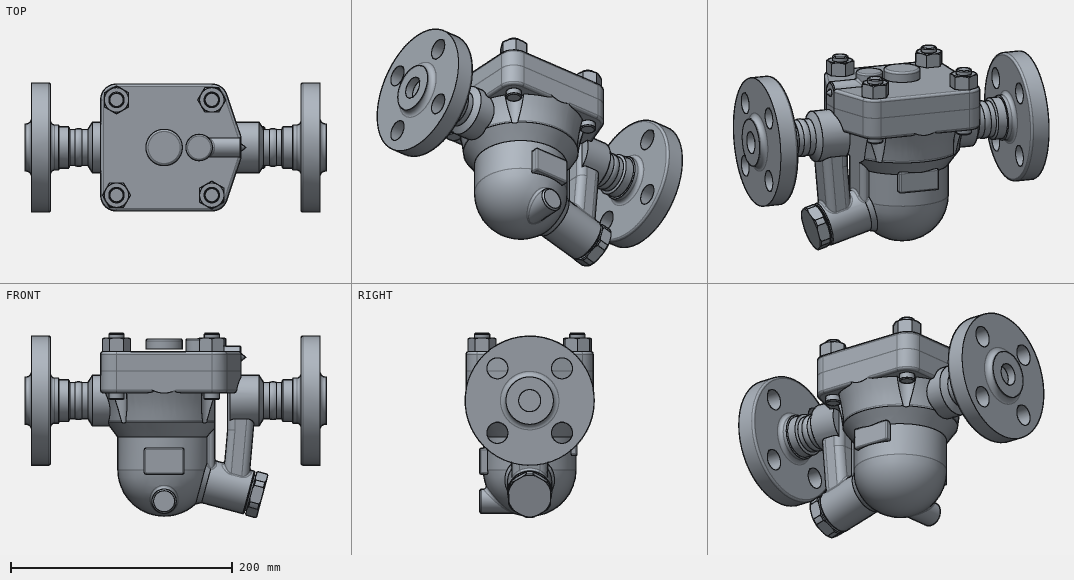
import cadquery as cq
import math

BOX_MARGIN = 1


PIPE_MID_X = 10.5
FACE_TO_FACE = 273
FLANGE_DIA = 117
FLANGE_THICKNESS = 17.3
FLANGE_ROUND = 2
RAISED_FACE_DIA = 42.9
RAISED_FACE_HEIGHT = 6
RAISED_FACE_FILLET = 5
BORE_DIA = 20
BORE_DEPTH = 8
BOLT_HOLE_DIA = 19
BOLT_CIRCLE_DIA = 82.6
NECK_DIA = 41
COLLAR_DIA = 38
PIPE_DIA = 33
WELD_BEAD_DIA = 34.4
HUB_DIA = 46
NECK_FILLET_END = 109.5
NECK_END = 106
COLLAR_START = 105.5
COLLAR_END = 97
COLLAR_TAPER_END = 95.8
WELD_OUTER = 91
WELD_INNER = 84.8
HUB_TAPER_START = 79.4
HUB_SHOULDER = 75.5
INLET_HUB_END_X = -30
OUTLET_HUB_END_X = 59.7

BOLT_OFFSET = 43.1
CORNER_RADIUS = 14.4
FLANGE_HALF = BOLT_OFFSET + CORNER_RADIUS
NOSE_X = 69.7
NOSE_HALF_WIDTH = 9
BODY_FLANGE_BOTTOM_Z = 7
COVER_JOINT_Z = 27
COVER_TOP_Z = 44.4
COVER_ROUND = 2.5
BODY_FLANGE_HEIGHT = COVER_JOINT_Z - BODY_FLANGE_BOTTOM_Z
COVER_HEIGHT = COVER_TOP_Z - COVER_JOINT_Z

BOSS_X = 31.7
BOSS_DIA = 24
BOSS_TOP_Z = 55.9
BOSS_ROUND = 1.5
BOSS_ROOT_FILLET = 2
PASSAGE_DIA = 20
PASSAGE_Z = 39.2
PASSAGE_END_CHAMFER = 1
TIP_DIA = 7
TIP_LENGTH = 4.2

PLATE_DIA = 33
PLATE_BOTTOM_Z = 46.5
PLATE_ROUND = 2

STUD_DIA = 14
STUD_BOTTOM_Z = 1
STUD_TOP_Z = 61
STUD_CHAMFER = 1
NUT_FLATS = 22
NUT_HEIGHT = 12.4
NUT_CHAMFER_ANGLE = 30
STUD_RELIEF_DIA = 19

POT_RADIUS = 42
SPHERE_Z = -62.6
SHOULDER_BOTTOM_Z = -33
SHOULDER_RADIUS = 52
SHOULDER_EDGE_Z = -19.5
FLARE_BOTTOM_Z = -18
FLARE_MID_RADIUS = 54.6
FLARE_MID_Z = -3
FLARE_TOP_RADIUS = 58.5
FLARE_TOP_Z = 9.5

FRONT_PAD_WIDTH = 36
FRONT_PAD_TOP_Z = -43
FRONT_PAD_BOTTOM_Z = -66.6
FRONT_PAD_Y = -45.2
PAD_ROUND = 1.5
PAD_FACE_ROUND = 1.35
BACK_PAD_WIDTH = 38
BACK_PAD_TOP_Z = -30
BACK_PAD_BOTTOM_Z = -49.5
BACK_PAD_Y = 43

DRAIN_DIA = 22
DRAIN_Z = -91
DRAIN_END_Y = -45.5
DRAIN_CHAMFER = 1.5
DRAIN_FILLET = 2.5

BARREL_ANGLE = 15
BARREL_DIA = 40
BARREL_END = 80
BARREL_CHAMFER = 1
BARREL_FLARE = 2.5
PLUG_RING_DIA = 33
PLUG_HEX_START = 81.5
PLUG_HEX_END = 91.9
PLUG_FLATS = 38
PLUG_CORNER_DIA = 41
PLUG_CHAMFER = 1

RIB_OUTER_X = 46
RIB_WIDTH = 33
RIB_ROUND = 5.2
RIB_FILLET = 2
RIB_JOINT_TOP_Z = -54

LEG_LEFT_X = 57.3
LEG_LENGTH_X = 23.4
LEG_WIDTH = 32
LEG_ROUND = 6.8
LEG_FILLET = 2
LEG_BEND_Z = -26.7
LEG_TILT = 5
LEG_BOTTOM_Z = -80
LEG_TOP_Z = 10
LEG_JOINT_MIN_X = 50
LEG_JOINT_MAX_X = 77.5
LEG_JOINT_TOP_Z = -55


def turned(profile):
    """Revolve a sketch drawn as (along X, radius) about the X axis."""
    return profile.close().revolve(360, (0, 0, 0), (1, 0, 0))


def stud_positions():
    return [(sx * BOLT_OFFSET, sy * BOLT_OFFSET) for sx in (-1, 1) for sy in (-1, 1)]


def hexagon(flats, height):
    return cq.Workplane("XY").polygon(6, flats / math.cos(math.pi / 6)).extrude(height)


def flanged_end(hub_end):
    """Flange, neck, pipe and hub pointing along +X, measured from the pipe middle."""
    face = FACE_TO_FACE / 2
    front = face - RAISED_FACE_HEIGHT
    back = front - FLANGE_THICKNESS
    diag = 1 - math.sqrt(0.5)
    raised_r = RAISED_FACE_DIA / 2
    flange_r = FLANGE_DIA / 2
    neck_r = NECK_DIA / 2
    neck_fillet = back - NECK_FILLET_END
    profile = (
        cq.Workplane("XY")
        .moveTo(hub_end, 0)
        .lineTo(face, 0)
        .lineTo(face, raised_r)
        .lineTo(front + RAISED_FACE_FILLET, raised_r)
        .threePointArc(
            (front + RAISED_FACE_FILLET * diag, raised_r + RAISED_FACE_FILLET * diag),
            (front, raised_r + RAISED_FACE_FILLET),
        )
        .lineTo(front, flange_r)
        .lineTo(back + FLANGE_ROUND, flange_r)
        .threePointArc(
            (back + FLANGE_ROUND * diag, flange_r - FLANGE_ROUND * diag),
            (back, flange_r - FLANGE_ROUND),
        )
        .lineTo(back, neck_r + neck_fillet)
        .threePointArc(
            (back - neck_fillet * diag, neck_r + neck_fillet * diag),
            (NECK_FILLET_END, neck_r),
        )
        .lineTo(NECK_END, neck_r)
        .lineTo(COLLAR_START, COLLAR_DIA / 2)
        .lineTo(COLLAR_END, COLLAR_DIA / 2)
        .lineTo(COLLAR_TAPER_END, PIPE_DIA / 2)
        .lineTo(WELD_OUTER, PIPE_DIA / 2)
        .threePointArc(((WELD_OUTER + WELD_INNER) / 2, WELD_BEAD_DIA / 2), (WELD_INNER, PIPE_DIA / 2))
        .lineTo(HUB_TAPER_START, PIPE_DIA / 2)
        .lineTo(HUB_SHOULDER, HUB_DIA / 2)
        .lineTo(hub_end, HUB_DIA / 2)
    )
    bolt_holes = (
        cq.Workplane("YZ", origin=(back, 0, 0))
        .polarArray(BOLT_CIRCLE_DIA / 2, 45, 360, 4)
        .circle(BOLT_HOLE_DIA / 2)
        .extrude(FLANGE_THICKNESS)
    )
    bore = cq.Workplane("YZ", origin=(face - BORE_DEPTH, 0, 0)).circle(BORE_DIA / 2).extrude(BORE_DEPTH)
    return turned(profile).cut(bolt_holes).cut(bore)


def flange_plate(height):
    """Square plate with round corners, tapering on the +X side to a short nose."""
    to_nose_x = NOSE_X - BOLT_OFFSET
    to_nose_y = NOSE_HALF_WIDTH - BOLT_OFFSET
    nose_angle = math.atan2(to_nose_y, to_nose_x)
    tangent_angle = nose_angle + math.acos(CORNER_RADIUS / math.hypot(to_nose_x, to_nose_y))

    def on_corner(angle):
        return (
            BOLT_OFFSET + CORNER_RADIUS * math.cos(angle),
            BOLT_OFFSET + CORNER_RADIUS * math.sin(angle),
        )

    mid_x, mid_y = on_corner((tangent_angle + math.pi / 2) / 2)
    tangent_x, tangent_y = on_corner(tangent_angle)
    diag = BOLT_OFFSET + CORNER_RADIUS * math.sqrt(0.5)
    return (
        cq.Workplane("XY")
        .moveTo(-BOLT_OFFSET, -FLANGE_HALF)
        .lineTo(BOLT_OFFSET, -FLANGE_HALF)
        .threePointArc((mid_x, -mid_y), (tangent_x, -tangent_y))
        .lineTo(NOSE_X, -NOSE_HALF_WIDTH)
        .lineTo(NOSE_X, NOSE_HALF_WIDTH)
        .lineTo(tangent_x, tangent_y)
        .threePointArc((mid_x, mid_y), (BOLT_OFFSET, FLANGE_HALF))
        .lineTo(-BOLT_OFFSET, FLANGE_HALF)
        .threePointArc((-diag, diag), (-FLANGE_HALF, BOLT_OFFSET))
        .lineTo(-FLANGE_HALF, -BOLT_OFFSET)
        .threePointArc((-diag, -diag), (-BOLT_OFFSET, -FLANGE_HALF))
        .close()
        .extrude(height)
    )


def body_flange():
    plate = flange_plate(BODY_FLANGE_HEIGHT).translate((0, 0, BODY_FLANGE_BOTTOM_Z))
    return plate.faces("<Z").edges().fillet(COVER_ROUND)


def cover():
    plate = flange_plate(COVER_HEIGHT).translate((0, 0, COVER_JOINT_Z))
    plate = plate.faces(">Z").edges().fillet(COVER_ROUND)
    boss = (
        cq.Workplane("XY", origin=(BOSS_X, 0, COVER_JOINT_Z))
        .circle(BOSS_DIA / 2)
        .extrude(BOSS_TOP_Z - COVER_JOINT_Z)
        .faces(">Z")
        .edges()
        .fillet(BOSS_ROUND)
    )
    passage = (
        cq.Workplane("YZ", origin=(BOSS_X, 0, PASSAGE_Z))
        .circle(PASSAGE_DIA / 2)
        .extrude(NOSE_X - BOSS_X)
        .faces(">X")
        .edges()
        .chamfer(PASSAGE_END_CHAMFER)
    )
    root_box = cq.selectors.BoxSelector(
        (BOSS_X + PASSAGE_DIA / 4, -BOSS_DIA, PASSAGE_Z - PASSAGE_DIA),
        (BOSS_X + BOSS_DIA / 2, BOSS_DIA, PASSAGE_Z + PASSAGE_DIA),
    )
    boss = boss.union(passage).edges(root_box).fillet(BOSS_ROOT_FILLET)
    tip = turned(
        cq.Workplane("XY")
        .moveTo(NOSE_X, 0)
        .lineTo(NOSE_X + TIP_LENGTH, 0)
        .lineTo(NOSE_X, TIP_DIA / 2)
    ).translate((0, 0, PASSAGE_Z))
    return plate.union(boss).union(tip)


def stud_with_nut(x, y):
    stud = (
        cq.Workplane("XY", origin=(0, 0, STUD_BOTTOM_Z))
        .circle(STUD_DIA / 2)
        .extrude(STUD_TOP_Z - STUD_BOTTOM_Z)
        .faces("<Z or >Z")
        .edges()
        .chamfer(STUD_CHAMFER)
    )
    cone = (
        cq.Workplane("XY")
        .circle(NUT_FLATS / 2 + NUT_HEIGHT / math.tan(math.radians(NUT_CHAMFER_ANGLE)))
        .workplane(offset=NUT_HEIGHT)
        .circle(NUT_FLATS / 2)
        .loft()
    )
    nut = hexagon(NUT_FLATS, NUT_HEIGHT).intersect(cone)
    turn = 0 if x * y > 0 else 90
    nut = nut.rotate((0, 0, 0), (0, 0, 1), turn).translate((0, 0, COVER_TOP_Z))
    return stud.union(nut).translate((x, y, 0))


def pot():
    shell = (
        cq.Workplane("XZ")
        .moveTo(0, SPHERE_Z - POT_RADIUS)
        .threePointArc(
            (POT_RADIUS * math.sqrt(0.5), SPHERE_Z - POT_RADIUS * math.sqrt(0.5)),
            (POT_RADIUS, SPHERE_Z),
        )
        .lineTo(POT_RADIUS, SHOULDER_BOTTOM_Z)
        .lineTo(SHOULDER_RADIUS, SHOULDER_EDGE_Z)
        .lineTo(SHOULDER_RADIUS, FLARE_BOTTOM_Z)
        .threePointArc((FLARE_MID_RADIUS, FLARE_MID_Z), (FLARE_TOP_RADIUS, FLARE_TOP_Z))
        .lineTo(0, FLARE_TOP_Z)
        .close()
        .revolve(360, (0, 0, 0), (0, 1, 0))
    )
    bottom_z = SPHERE_Z - POT_RADIUS
    envelope = flange_plate(FLARE_TOP_Z - bottom_z).translate((0, 0, bottom_z))
    reliefs = (
        cq.Workplane("XY", origin=(0, 0, SHOULDER_BOTTOM_Z))
        .pushPoints(stud_positions())
        .circle(STUD_RELIEF_DIA / 2)
        .extrude(BODY_FLANGE_BOTTOM_Z - SHOULDER_BOTTOM_Z)
    )
    leg_gap = (
        cq.Workplane("XY", origin=((RIB_OUTER_X + LEG_LEFT_X) / 2, 0, SHOULDER_BOTTOM_Z))
        .rect(LEG_LEFT_X - RIB_OUTER_X, 2 * FLANGE_HALF)
        .extrude(BODY_FLANGE_BOTTOM_Z - SHOULDER_BOTTOM_Z)
    )
    return shell.intersect(envelope).cut(reliefs).cut(leg_gap)


def pad(width, bottom_z, top_z, outer_y):
    """Rectangular plate standing out from the pot along Y."""
    block = cq.Workplane("XY").box(width, abs(outer_y), top_z - bottom_z)
    outer_face = "<Y" if outer_y < 0 else ">Y"
    block = block.edges("|Y").fillet(PAD_ROUND).faces(outer_face).edges().fillet(PAD_FACE_ROUND)
    return block.translate((0, outer_y / 2, (bottom_z + top_z) / 2))


def drain_boss():
    boss = (
        cq.Workplane("XZ", origin=(0, 0, DRAIN_Z))
        .circle(DRAIN_DIA / 2)
        .extrude(-DRAIN_END_Y)
    )
    return boss.faces("<Y").edges().chamfer(DRAIN_CHAMFER)


def strainer_barrel():
    """Barrel and hexagon plug, drawn along +X and then tilted down about the sphere centre."""
    radius = BARREL_DIA / 2
    root = math.sqrt(POT_RADIUS**2 - (radius + BARREL_FLARE) ** 2)
    flare_end = root + 2 * BARREL_FLARE
    profile = (
        cq.Workplane("XY")
        .lineTo(PLUG_HEX_START, 0)
        .lineTo(PLUG_HEX_START, PLUG_RING_DIA / 2)
        .lineTo(BARREL_END, PLUG_RING_DIA / 2)
        .lineTo(BARREL_END, radius - BARREL_CHAMFER)
        .lineTo(BARREL_END - BARREL_CHAMFER, radius)
        .lineTo(flare_end, radius)
        .lineTo(root, radius + BARREL_FLARE)
        .lineTo(0, radius)
    )
    plug_height = PLUG_HEX_END - PLUG_HEX_START
    turned_blank = cq.Workplane("XY").circle(PLUG_CORNER_DIA / 2).extrude(plug_height)
    turned_blank = turned_blank.edges().chamfer(PLUG_CHAMFER)
    plug = (
        hexagon(PLUG_FLATS, plug_height)
        .intersect(turned_blank)
        .rotate((0, 0, 0), (0, 1, 0), 90)
        .translate((PLUG_HEX_START, 0, 0))
    )
    barrel = turned(profile).union(plug)
    return barrel.rotate((0, 0, 0), (0, 1, 0), BARREL_ANGLE).translate((0, 0, SPHERE_Z))


def rib():
    height = BODY_FLANGE_BOTTOM_Z - SPHERE_Z
    block = cq.Workplane("XY", origin=(RIB_OUTER_X / 2, 0, SPHERE_Z))
    block = block.rect(RIB_OUTER_X, RIB_WIDTH).extrude(height)
    return block.edges("|Z and >X").fillet(RIB_ROUND)


def leg():
    """Rounded post: upright under the body flange, then leaning towards the pot."""
    slope = math.tan(math.radians(LEG_TILT))
    drift = (LEG_BEND_Z - LEG_BOTTOM_Z) * slope
    right_x = LEG_LEFT_X + LEG_LENGTH_X
    post = (
        cq.Workplane("XZ")
        .moveTo(LEG_LEFT_X, LEG_TOP_Z)
        .lineTo(LEG_LEFT_X, LEG_BEND_Z)
        .lineTo(LEG_LEFT_X - drift, LEG_BOTTOM_Z)
        .lineTo(right_x - drift, LEG_BOTTOM_Z)
        .lineTo(right_x + (LEG_TOP_Z - LEG_BEND_Z) * slope, LEG_TOP_Z)
        .close()
        .extrude(LEG_WIDTH / 2, both=True)
    )
    return post.faces("<Y or >Y").edges("not |X").fillet(LEG_ROUND)


def pot_with_drain():
    half = DRAIN_DIA / 2 + BOX_MARGIN
    root_box = cq.selectors.BoxSelector(
        (-half, DRAIN_END_Y + 2 * DRAIN_CHAMFER, DRAIN_Z - half),
        (half, -BOX_MARGIN, DRAIN_Z + half),
    )
    return pot().union(drain_boss()).edges(root_box).fillet(DRAIN_FILLET)


def barrel_with_leg():
    half = LEG_WIDTH / 2 + BOX_MARGIN
    joint_box = cq.selectors.BoxSelector(
        (LEG_JOINT_MIN_X, -half, LEG_BOTTOM_Z),
        (LEG_JOINT_MAX_X, half, LEG_JOINT_TOP_Z),
    )
    return strainer_barrel().union(leg()).edges(joint_box).fillet(LEG_FILLET)


def lower_body():
    half = RIB_WIDTH / 2 + BOX_MARGIN
    joint_box = cq.selectors.BoxSelector(
        (RIB_OUTER_X - RIB_ROUND, -half, SPHERE_Z),
        (RIB_OUTER_X + BOX_MARGIN, half, RIB_JOINT_TOP_Z),
    )
    body = pot_with_drain().union(rib()).union(barrel_with_leg())
    return body.edges(joint_box).fillet(RIB_FILLET)


inlet = flanged_end(PIPE_MID_X - INLET_HUB_END_X).mirror("YZ").translate((PIPE_MID_X, 0, 0))
outlet = flanged_end(OUTLET_HUB_END_X - PIPE_MID_X).translate((PIPE_MID_X, 0, 0))

trap = lower_body().union(body_flange())
trap = trap.union(pad(FRONT_PAD_WIDTH, FRONT_PAD_BOTTOM_Z, FRONT_PAD_TOP_Z, FRONT_PAD_Y))
trap = trap.union(pad(BACK_PAD_WIDTH, BACK_PAD_BOTTOM_Z, BACK_PAD_TOP_Z, BACK_PAD_Y))
trap = trap.union(inlet).union(outlet)
for stud_x, stud_y in stud_positions():
    trap = trap.union(stud_with_nut(stud_x, stud_y))
trap = trap.union(cover(), clean=False)

plate = (
    cq.Workplane("XY", origin=(0, 0, PLATE_BOTTOM_Z))
    .circle(PLATE_DIA / 2)
    .extrude(BOSS_TOP_Z - PLATE_BOTTOM_Z)
    .faces(">Z")
    .edges()
    .fillet(PLATE_ROUND)
)

result = cq.Compound.makeCompound([trap.solids().val(), plate.val()])